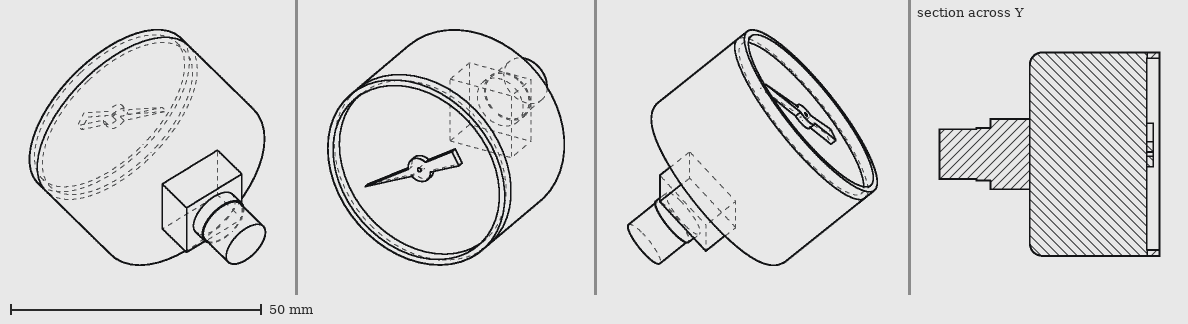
import cadquery as cq

CASE_RADIUS = 20.33
BEZEL_INNER_RADIUS = 19.1
BEZEL_DEPTH = 2.55
CASE_BACK = 25.9
CASE_BACK_FILLET = 2.55

BLOCK_SIDE = 14.05
BLOCK_END = 33.7
COLLAR_DIAMETER = 10.55
COLLAR_END = 36.52
STUB_DIAMETER = 10.0
STUB_END = 43.9

NEEDLE_THICKNESS = 1.3
NEEDLE_ANGLE = 30.0
NEEDLE_TIP_LENGTH = 14.35
NEEDLE_TAIL_LENGTH = 9.55
NEEDLE_TAIL_WIDTH = 3.2
HUB_RADIUS = 2.55
HUB_HOLE_RADIUS = 0.4


def plane_at(x):
    """Sketch plane facing +X, with local axes along Y and Z."""
    return cq.Workplane("YZ", origin=(x, 0, 0))


def cylinder(start, end, radius):
    return plane_at(start).circle(radius).extrude(end - start)


def make_bezel():
    """Front ring that surrounds the recessed dial."""
    return plane_at(0).circle(CASE_RADIUS).circle(BEZEL_INNER_RADIUS).extrude(BEZEL_DEPTH)


def make_case():
    """Solid case with a flat dial in front and a rounded back edge."""
    return cylinder(BEZEL_DEPTH, CASE_BACK, CASE_RADIUS).faces(">X").edges().fillet(CASE_BACK_FILLET)


def make_connector():
    """Square wrench block, then a collar and a round stub."""
    block = plane_at(CASE_BACK).rect(BLOCK_SIDE, BLOCK_SIDE).extrude(BLOCK_END - CASE_BACK)
    collar = cylinder(BLOCK_END, COLLAR_END, COLLAR_DIAMETER / 2)
    stub = cylinder(COLLAR_END, STUB_END, STUB_DIAMETER / 2)
    return block.union(collar).union(stub)


def make_needle():
    """Tapered pointer with a drilled round hub, resting on the dial."""
    front = BEZEL_DEPTH - NEEDLE_THICKNESS
    half_tail = NEEDLE_TAIL_WIDTH / 2
    pointer = (
        plane_at(front)
        .moveTo(NEEDLE_TIP_LENGTH, 0)
        .lineTo(-NEEDLE_TAIL_LENGTH, half_tail)
        .lineTo(-NEEDLE_TAIL_LENGTH, -half_tail)
        .close()
        .extrude(NEEDLE_THICKNESS)
    )
    hub = cylinder(front, BEZEL_DEPTH, HUB_RADIUS)
    hole = cylinder(front, BEZEL_DEPTH, HUB_HOLE_RADIUS)
    needle = pointer.union(hub).cut(hole)
    return needle.rotate((0, 0, 0), (1, 0, 0), -NEEDLE_ANGLE)


bezel = make_bezel()
case = make_case()
connector = make_connector()
needle = make_needle()

result = cq.Compound.makeCompound([bezel.val(), case.val(), connector.val(), needle.val()])